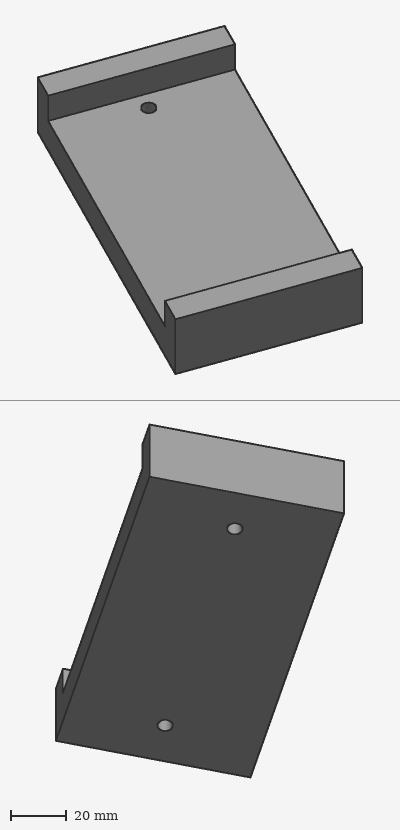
import cadquery as cq

length = 134.0
width = 72.0
height = 27.3

wall_thickness = 10.2
floor_thickness = 14.7
channel_length = length - 2 * wall_thickness
channel_depth = height - floor_thickness

hole_diameter = 5.5
hole_spacing = 99.7

block = cq.Workplane("XY").box(length, width, height, centered=(True, True, False))

channel = (
    cq.Workplane("XY")
    .workplane(offset=floor_thickness)
    .box(channel_length, width, channel_depth, centered=(True, True, False))
)

holes = (
    cq.Workplane("XY")
    .rarray(hole_spacing, 1.3, 2, 1)
    .circle(hole_diameter / 2)
    .extrude(floor_thickness)
)

result = block.cut(channel).cut(holes)